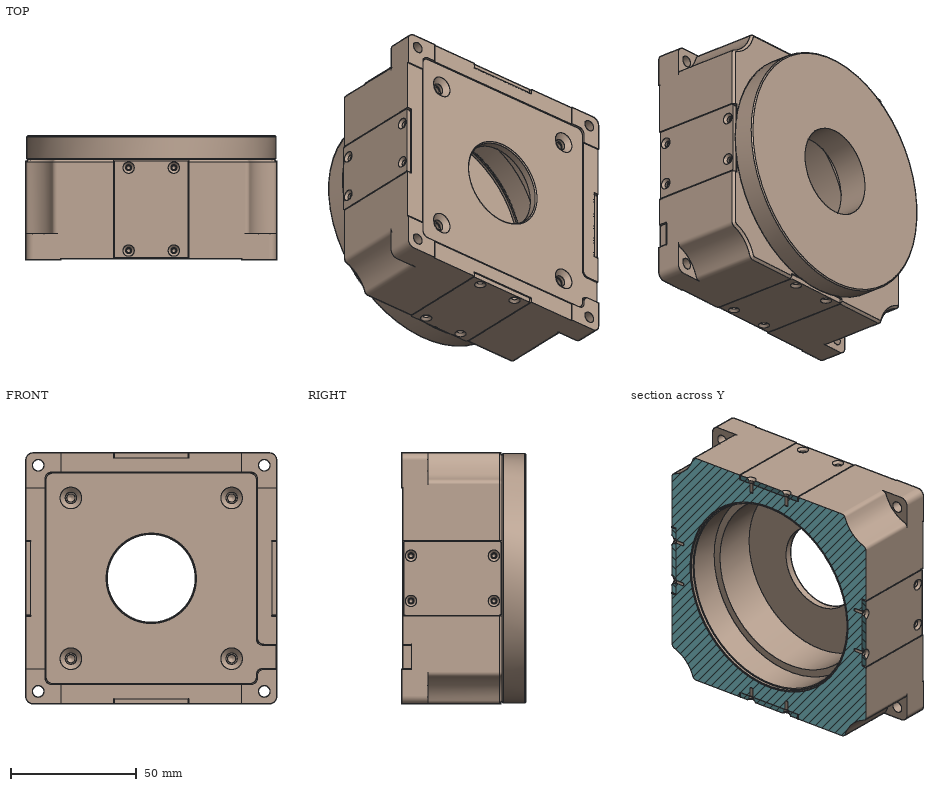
import cadquery as cq
import math


side = 100.0
half = side / 2
housing_depth = 40.0
flange_depth = 10.5
flange_corner_radius = 3.0
pad_size = 14.0
pad_height = 0.4
back_chamfer = 1.0
mount_hole_diameter = 4.5
mount_hole_offset = 45.0

relief_radius = 15.0
relief_center = half + 3.5
relief_edge_radius = 2.0

cavity_front_diameter = 73.0
cavity_back_diameter = 79.0
cavity_step_y = 22.3
cavity_rim_diameter = 80.0
cavity_rim_y = 34.9
hub_recess_diameter = 81.0
hub_recess_y = 36.1

pocket_half = 42.25
pocket_floor_y = 4.0
pocket_corner_radius = 2.5
plate_gap = 0.4
plate_front_y = 0.5
plate_bore = 35.0
plate_bore_chamfer = 0.5
tab_center_z = -31.25
tab_slot_width = 10.0
plate_screw_offset = 32.0
plate_screw_clearance = 4.5
plate_screw_head = 8.6
plate_screw_tap = 3.3
plate_tap_depth = 10.0

cover_pocket_width = 30.0
cover_thickness = 2.0
cover_gap = 0.3
cover_end_gap = 0.5
cover_corner_radius = 0.5
cover_screw_x = 9.0
cover_screw_ys = (3.75, 36.75)
cover_screw_clearance = 2.4
cover_screw_head = 4.5
cover_screw_tap = 1.6
cover_tap_depth = 4.0

rotor_diameter = 99.5
rotor_back_y = 49.5
rotor_chamfer = 0.5
rotor_bore = 36.0
hub_gap = 1.0
hub_diameter = hub_recess_diameter - 2 * hub_gap
hub_front_y = 36.8

countersink_angle = 90.0
drill_point_angle = 118.0

SIDE_ANGLES = (0, 90, 180, 270)


def square_points(offset):
    return [(sx * offset, sz * offset) for sx in (-1, 1) for sz in (-1, 1)]


def plane_at(y):
    """Workplane across the axis: local x is X, local y is Z; extrude negative lengths toward +Y."""
    return cq.Workplane("XZ", origin=(0, y, 0))


def around_axis(shape, angle):
    return shape.rotate((0, 0, 0), (0, 1, 0), angle)


def tapped_hole(diameter, depth):
    """Blind drilled hole along +Z, starting at the origin, with a conical bottom."""
    radius = diameter / 2
    point_length = radius / math.tan(math.radians(drill_point_angle / 2))
    profile = [(0, 0), (radius, 0), (radius, depth), (0, depth + point_length)]
    return cq.Workplane("XZ").polyline(profile).close().revolve(360, (0, 0), (0, 1))


def relieved_body():
    """Square body with a concave relief, blended into the sides, at each corner."""
    blend_center = half - relief_edge_radius
    center_distance = relief_radius + relief_edge_radius
    along = math.sqrt(center_distance ** 2 - (relief_center - blend_center) ** 2)
    blend_start = relief_center - along
    to_center = relief_edge_radius / center_distance
    arc_near = blend_start + along * to_center
    arc_far = blend_center + (relief_center - blend_center) * to_center
    arc_middle = relief_center - relief_radius / math.sqrt(2)

    outer = half + relief_edge_radius
    blend_angle = (math.pi / 2 + math.asin((relief_center - blend_center) / center_distance)) / 2
    blend_near = blend_start + relief_edge_radius * math.cos(blend_angle)
    blend_far = blend_center + relief_edge_radius * math.sin(blend_angle)
    relief = (
        plane_at(flange_depth)
        .moveTo(blend_start, half)
        .threePointArc((blend_near, blend_far), (arc_near, arc_far))
        .threePointArc((arc_middle, arc_middle), (arc_far, arc_near))
        .threePointArc((blend_far, blend_near), (half, blend_start))
        .lineTo(outer, blend_start)
        .lineTo(outer, outer)
        .lineTo(blend_start, outer)
        .close()
        .extrude(flange_depth - housing_depth)
    )
    body = plane_at(flange_depth).rect(side, side).extrude(flange_depth - housing_depth)
    for angle in SIDE_ANGLES:
        body = body.cut(around_axis(relief, angle))
    return body.faces(">Y").edges().chamfer(back_chamfer)


def tabbed_square(inset, front_y, tab_end):
    """Rounded square with a tab toward +X, from front_y to the pocket floor, shrunk by inset."""
    depth = pocket_floor_y - front_y
    edge = pocket_half - inset
    tab_width = tab_slot_width - 2 * inset
    square = plane_at(front_y).rect(2 * edge, 2 * edge).extrude(-depth)
    square = square.edges("|Y").fillet(pocket_corner_radius)
    tab = plane_at(front_y).center(tab_end / 2, tab_center_z).rect(tab_end, tab_width).extrude(-depth)
    shape = square.union(tab)
    for sign in (-1, 1):
        root = (edge, front_y + depth / 2, tab_center_z + sign * tab_width / 2)
        shape = shape.edges(cq.NearestToPointSelector(root)).fillet(pocket_corner_radius)
    return shape


def cover_screw_points():
    return [(sx * cover_screw_x, y) for sx in (-1, 1) for y in cover_screw_ys]


def make_housing():
    flange = plane_at(0).rect(side, side).extrude(-flange_depth)
    flange = flange.edges("|Y").fillet(flange_corner_radius)
    housing = flange.union(relieved_body())

    between_pads = side - 2 * pad_size
    housing = housing.cut(plane_at(0).rect(between_pads, side).extrude(-pad_height))
    housing = housing.cut(plane_at(0).rect(side, between_pads).extrude(-pad_height))

    housing = housing.cut(
        plane_at(0).pushPoints(square_points(mount_hole_offset))
        .circle(mount_hole_diameter / 2).extrude(-housing_depth)
    )
    housing = housing.cut(tabbed_square(0, 0, side))
    cavity_steps = (
        (cavity_front_diameter, 0),
        (cavity_back_diameter, cavity_step_y),
        (cavity_rim_diameter, cavity_rim_y),
        (hub_recess_diameter, hub_recess_y),
    )
    for diameter, start_y in cavity_steps:
        housing = housing.cut(plane_at(start_y).circle(diameter / 2).extrude(start_y - housing_depth))

    plate_tap = tapped_hole(plate_screw_tap, plate_tap_depth).rotate((0, 0, 0), (1, 0, 0), -90)
    for x, z in square_points(plate_screw_offset):
        housing = housing.cut(plate_tap.translate((x, pocket_floor_y, z)))

    pocket_floor = half - cover_thickness
    cover_pocket = cq.Workplane("XY").box(
        cover_pocket_width, housing_depth, cover_thickness, centered=(True, False, False)
    ).translate((0, 0, pocket_floor))
    cover_tap = tapped_hole(cover_screw_tap, cover_tap_depth).rotate((0, 0, 0), (1, 0, 0), 180)
    for x, y in cover_screw_points():
        cover_pocket = cover_pocket.union(cover_tap.translate((x, y, pocket_floor)))
    for angle in SIDE_ANGLES:
        housing = housing.cut(around_axis(cover_pocket, angle))
    return housing


def make_front_plate():
    plate = tabbed_square(plate_gap, plate_front_y, half - plate_gap)
    plate = plate.faces("<Y").workplane(origin=(0, plate_front_y, 0)).hole(plate_bore)
    plate = plate.faces("<Y").edges("%CIRCLE").edges(
        cq.selectors.RadiusNthSelector(-1)
    ).chamfer(plate_bore_chamfer)
    return (
        plate.faces("<Y").workplane(origin=(0, plate_front_y, 0))
        .pushPoints(square_points(plate_screw_offset))
        .cskHole(plate_screw_clearance, plate_screw_head, countersink_angle)
    )


def make_cover():
    """Cover on the +Z side of the housing."""
    width = cover_pocket_width - 2 * cover_gap
    front_y = pad_height + cover_end_gap
    length = housing_depth - cover_end_gap - front_y
    cover = cq.Workplane("XY").box(width, length, cover_thickness, centered=(True, False, False))
    cover = cover.translate((0, front_y, half - cover_thickness))
    cover = cover.edges("|Z").fillet(cover_corner_radius)
    return (
        cover.faces(">Z").workplane(origin=(0, 0, half))
        .pushPoints(cover_screw_points())
        .cskHole(cover_screw_clearance, cover_screw_head, countersink_angle)
    )


def make_rotor():
    disc = plane_at(housing_depth).circle(rotor_diameter / 2).extrude(housing_depth - rotor_back_y)
    disc = disc.edges().chamfer(rotor_chamfer)
    hub = plane_at(hub_front_y).circle(hub_diameter / 2).extrude(hub_front_y - housing_depth)
    bore = plane_at(hub_front_y).circle(rotor_bore / 2).extrude(hub_front_y - rotor_back_y)
    return disc.union(hub).cut(bore)


housing = make_housing()
front_plate = make_front_plate()
cover = make_cover()
covers = [around_axis(cover, angle) for angle in SIDE_ANGLES]
rotor = make_rotor()

result = cq.Compound.makeCompound(
    [housing.val(), front_plate.val(), *[part.val() for part in covers], rotor.val()]
)